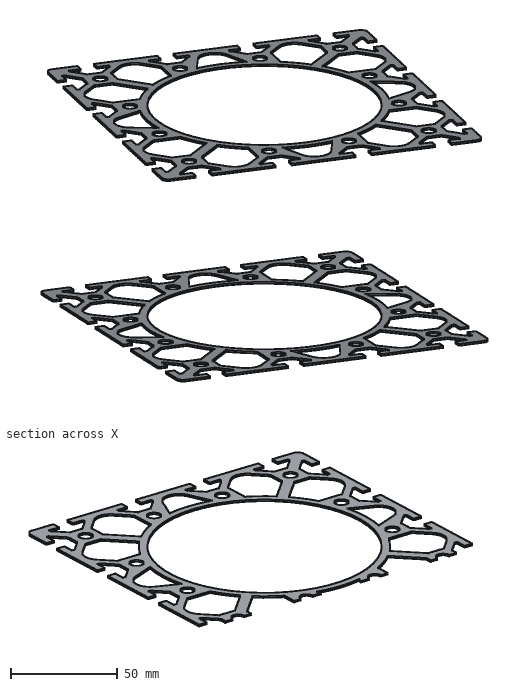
import cadquery as cq
import math

SIDE = 160.0
THICKNESS = 1.0
CORNER_RADIUS = 3.4
HALF = SIDE / 2

SLOTS_PER_SIDE = 4
PITCH = SIDE / SLOTS_PER_SIDE
SLOT_OFFSETS = [(i - (SLOTS_PER_SIDE - 1) / 2) * PITCH for i in range(SLOTS_PER_SIDE)]
HOLE_DIAMETER = 6.9
HOLE_INSET = PITCH / 2

SLOT_MOUTH = 8.2
SLOT_CAVITY = 20.0
SLOT_FLOOR = 7.2
SLOT_DEPTH = 12.3
LIP_DEPTH = 4.5

BORE_RADIUS = 55.0
RING_RADIUS = 59.0

EDGE_WALL = 5.0
SIDE_WINDOW_WIDTH = 25.1
CROWN_RADIUS = 8.0
SIDE_WALL_ANGLE = math.radians(45)
MIDDLE_WALL_ANGLE = math.radians(22.5)
DIAGONAL_WEB = 5.8


def prism(points):
    """Solid of plate thickness over a closed outline."""
    return cq.Workplane("XY").polyline(points).close().extrude(THICKNESS)


def disc(radius):
    """Solid of plate thickness over a circle at the plate centre."""
    return cq.Workplane("XY").circle(radius).extrude(THICKNESS)


def t_slot(x):
    """T-slot opening through the +Y side, with 45 degree walls down to its floor."""
    wall_drop = (SLOT_CAVITY - SLOT_FLOOR) / 2
    right_half = [
        (SLOT_MOUTH / 2, HALF),
        (SLOT_MOUTH / 2, HALF - LIP_DEPTH),
        (SLOT_CAVITY / 2, HALF - LIP_DEPTH),
        (SLOT_CAVITY / 2, HALF - SLOT_DEPTH + wall_drop),
        (SLOT_FLOOR / 2, HALF - SLOT_DEPTH),
    ]
    left_half = [(-px, py) for px, py in reversed(right_half)]
    return prism(right_half + left_half).translate((x, 0, 0))


def crown_apex(wall_angle):
    """Height where two walls, each wall_angle off the Y axis, meet above their rounded crown."""
    return HALF - EDGE_WALL + CROWN_RADIUS * (1 / math.sin(wall_angle) - 1)


def side_window():
    """Window left of the middle: 45 degree crown, and a 45 degree edge along the diagonal web."""
    left = -PITCH - SIDE_WINDOW_WIDTH / 2
    right = -PITCH + SIDE_WINDOW_WIDTH / 2
    apex = crown_apex(SIDE_WALL_ANGLE)
    shoulder = apex - SIDE_WINDOW_WIDTH / 2 / math.tan(SIDE_WALL_ANGLE)
    web_offset = DIAGONAL_WEB / math.sqrt(2)
    outline = [
        (left, -left + web_offset),
        (left, shoulder),
        (-PITCH, apex),
        (right, shoulder),
        (right, -right + web_offset),
    ]
    return prism(outline).edges("|Z and >Y").fillet(CROWN_RADIUS)


def middle_window():
    """Tapered window on the Y axis with a rounded crown; its base lies inside the ring."""
    apex = crown_apex(MIDDLE_WALL_ANGLE)
    base = BORE_RADIUS
    half_base = (apex - base) * math.tan(MIDDLE_WALL_ANGLE)
    outline = [(-half_base, base), (0, apex), (half_base, base)]
    return prism(outline).edges("|Z and >Y").fillet(CROWN_RADIUS)


plate = cq.Workplane("XY").rect(SIDE, SIDE).extrude(THICKNESS)
plate = plate.edges("|Z").fillet(CORNER_RADIUS)

left_window = side_window()
side_cuts = [t_slot(x) for x in SLOT_OFFSETS]
side_cuts += [left_window, left_window.mirror("YZ"), middle_window()]
for quarter in range(4):
    for cut in side_cuts:
        plate = plate.cut(cut.rotate((0, 0, 0), (0, 0, 1), 90 * quarter))

plate = plate.union(disc(RING_RADIUS)).cut(disc(BORE_RADIUS))

hole_reach = HALF - HOLE_INSET
hole_centers = [
    (x, y)
    for x in SLOT_OFFSETS
    for y in SLOT_OFFSETS
    if max(abs(x), abs(y)) == hole_reach
]
holes = cq.Workplane("XY").pushPoints(hole_centers).circle(HOLE_DIAMETER / 2).extrude(THICKNESS)

result = plate.cut(holes)